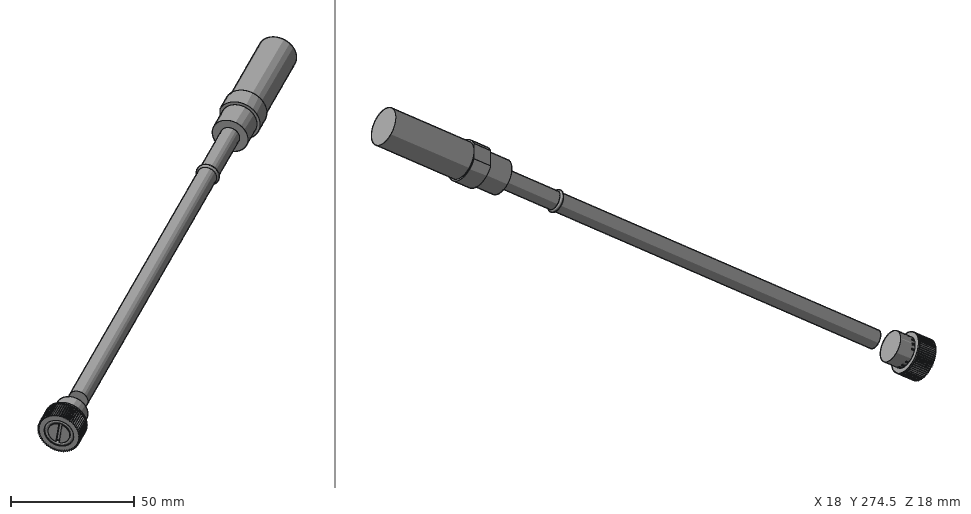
import cadquery as cq
import math

TOTAL_LENGTH = 274.5
BACK_Y = TOTAL_LENGTH / 2
FRONT_Y = -TOTAL_LENGTH / 2
ORIGIN = (0, 0, 0)
AXIS_POINT = (0, 1, 0)
FULL_TURN = 360.0

WIRE_RADIUS = 0.8

HANDLE_LENGTH = 59.5
GRIP_RADIUS = 8.2
NOSE_RADIUS = 7.7
COLLAR_START = 39.8
COLLAR_END = 48.3
COLLAR_RADIUS = 9.0

ROD_RADIUS = 4.0
ROD_START = COLLAR_START
ROD_END = 250.0
SEAL_CENTRE = 87.5

HEAD_RADIUS = COLLAR_RADIUS
HEAD_LENGTH = 9.0
HEAD_BACK_Y = FRONT_Y + HEAD_LENGTH
KNURL_LENGTH = 8.2
KNURL_COUNT = 60
KNURL_DEPTH = 0.5

PLUG_RADIUS = 6.9
PLUG_LENGTH = 7.5
NOTCH_WIDTH = 0.8
NOTCH_LENGTH = 1.5
NOTCH_DEPTH = 0.5
NOTCH_PITCH = 2.5
NOTCHES_PER_SIDE = 3
SIDE_COUNT = 4

SCREW_RADIUS = 4.7
SCREW_LENGTH = 4.0
SLOT_WIDTH = 1.5
SLOT_DEPTH = 1.5
SLOT_TILT = 8.0
BEAD_RING_RADIUS = SCREW_RADIUS + WIRE_RADIUS
BEAD_GROOVE_RADIUS = BEAD_RING_RADIUS + WIRE_RADIUS
BEAD_GROOVE_DEPTH = 2 * WIRE_RADIUS


def cylinder(radius, back_y, length):
    """Cylinder around the Y axis that runs from back_y toward -Y."""
    return cq.Workplane("XZ", origin=(0, back_y, 0)).circle(radius).extrude(length)


def round_ring(ring_radius, centre_y):
    """Torus around the Y axis."""
    torus = cq.Solid.makeTorus(ring_radius, WIRE_RADIUS, cq.Vector(0, centre_y, 0), cq.Vector(AXIS_POINT))
    return cq.Workplane(obj=torus)


def turned(body, angle):
    """Body turned about the Y axis."""
    return body.rotate(ORIGIN, AXIS_POINT, angle)


def make_handle():
    """Grip, a thicker collar flattened on its -X side, and a slimmer nose with a blind hole for the rod."""
    collar = cylinder(COLLAR_RADIUS, BACK_Y - COLLAR_START, COLLAR_END - COLLAR_START)
    beyond_flat = cq.Workplane().box(COLLAR_RADIUS, TOTAL_LENGTH, 2 * COLLAR_RADIUS)
    collar = collar.cut(beyond_flat.translate((-GRIP_RADIUS - COLLAR_RADIUS / 2, BACK_Y, 0)))
    rod_hole = cylinder(ROD_RADIUS, BACK_Y - ROD_START, HANDLE_LENGTH - ROD_START)
    grip = cylinder(GRIP_RADIUS, BACK_Y, COLLAR_START)
    nose = cylinder(NOSE_RADIUS, BACK_Y - COLLAR_END, HANDLE_LENGTH - COLLAR_END)
    return grip.union(collar).union(nose).cut(rod_hole)


def make_rod(seal):
    """Plain rod with a half-round groove that holds the seal ring."""
    return cylinder(ROD_RADIUS, BACK_Y - ROD_START, ROD_END - ROD_START).cut(seal)


def make_plug():
    """Solid plug with a group of notches on each side, where it meets the head."""
    plug = cylinder(PLUG_RADIUS, HEAD_BACK_Y + PLUG_LENGTH, PLUG_LENGTH)
    notch = cq.Workplane().box(NOTCH_WIDTH, NOTCH_LENGTH, 2 * NOTCH_DEPTH)
    notch = notch.translate((0, HEAD_BACK_Y + NOTCH_LENGTH / 2, PLUG_RADIUS))
    first_offset = -(NOTCHES_PER_SIDE - 1) / 2 * NOTCH_PITCH
    for side in range(SIDE_COUNT):
        for i in range(NOTCHES_PER_SIDE):
            placed = notch.translate((first_offset + i * NOTCH_PITCH, 0, 0))
            plug = plug.cut(turned(placed, side * FULL_TURN / SIDE_COUNT))
    return plug


def make_head():
    """Disc with a straight knurl of V grooves and a stepped recess for the bead ring and the screw."""
    tooth_angle = 2 * math.pi / KNURL_COUNT
    root_radius = HEAD_RADIUS - KNURL_DEPTH
    outline = []
    for i in range(KNURL_COUNT):
        for radius, angle in ((HEAD_RADIUS, i * tooth_angle), (root_radius, (i + 0.5) * tooth_angle)):
            outline.append((radius * math.cos(angle), radius * math.sin(angle)))
    knurl_plane = cq.Workplane("XZ", origin=(0, FRONT_Y + KNURL_LENGTH, 0))
    knurl = knurl_plane.polyline(outline).close().extrude(KNURL_LENGTH)
    flange = cylinder(HEAD_RADIUS, HEAD_BACK_Y, HEAD_LENGTH - KNURL_LENGTH)
    bead_groove = cylinder(BEAD_GROOVE_RADIUS, FRONT_Y + BEAD_GROOVE_DEPTH, BEAD_GROOVE_DEPTH)
    screw_hole = cylinder(SCREW_RADIUS, FRONT_Y + SCREW_LENGTH, SCREW_LENGTH)
    return knurl.union(flange).cut(bead_groove).cut(screw_hole)


def make_screw():
    """Round screw whose front face has a slightly tilted slot across it."""
    slot = cq.Workplane().box(SLOT_WIDTH, 2 * SLOT_DEPTH, 2 * SCREW_RADIUS).translate((0, FRONT_Y, 0))
    return cylinder(SCREW_RADIUS, FRONT_Y + SCREW_LENGTH, SCREW_LENGTH).cut(turned(slot, SLOT_TILT))


seal_ring = round_ring(ROD_RADIUS, BACK_Y - SEAL_CENTRE)
handle = make_handle()
rod = make_rod(seal_ring)
plug = make_plug()
head = make_head()
screw = make_screw()
bead_ring = round_ring(BEAD_RING_RADIUS, FRONT_Y + WIRE_RADIUS)

bodies = [handle, rod, seal_ring, plug, head, screw, bead_ring]
result = cq.Compound.makeCompound([body.solids().val() for body in bodies])